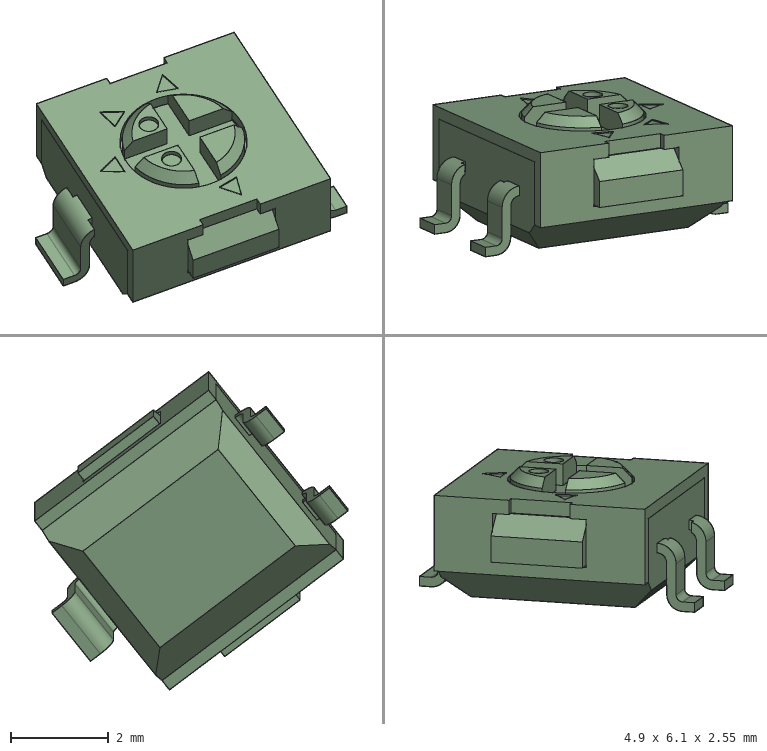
import cadquery as cq
import math

body_size = 4.5
half_body = body_size / 2
cover_wall = 0.25
cover_bottom_z = 0.715
cover_top_z = 2.3

base_width = body_size - 2 * cover_wall
base_top_z = cover_top_z - cover_wall
base_end_chamfer = 0.5

window_length = 2.0
window_bottom_z = 1.0
window_top_z = 2.0
catch_clearance = 0.025
catch_span = 4.9
catch_slope = 0.4
catch_length = window_length - 2 * catch_clearance

notch_length = 1.3
notch_depth = 0.16

knob_diameter = 2.5
knob_hole_diameter = 2.6
knob_top_z = 2.55
knob_chamfer = 0.195
cross_slot_width = 0.5
cross_slot_depth = 0.45
dimple_diameter = 0.4
dimple_offset = 0.53
dimple_depth = 0.1

arrow_steps = (-2, -1, 0, 2)
arrow_step_angle = 360 / 7
arrow_base_radius = 1.445
arrow_tip_radius = 1.89
arrow_width = 0.45
arrow_depth = 0.025

lead_reach = 3.05
lead_top_z = 1.395
lead_thickness = 0.2
shoulder_radius = 0.4
heel_inner_radius = 0.14
heel_outer_radius = heel_inner_radius + lead_thickness
lead_neck_length = 0.09
front_lead_width = 1.29
front_neck_width = 0.71
rear_lead_inner_x = 0.75
rear_lead_outer_x = 1.365
rear_neck_inner_x = 0.89


def block(x_range, y_range, z_range):
    """Box spanning the given (low, high) limits on each axis."""
    spans = [high - low for low, high in (x_range, y_range, z_range)]
    corner = (x_range[0], y_range[0], z_range[0])
    return cq.Workplane("XY").box(*spans, centered=False).translate(corner)


def centered(length):
    """Limits of a span of this length centered on zero."""
    return (-length / 2, length / 2)


def make_arrow(step):
    """Cutter for one arrow mark pointing away from the knob."""
    return (
        cq.Workplane("XY", origin=(0, 0, cover_top_z - arrow_depth))
        .polyline([
            (-arrow_width / 2, -arrow_base_radius),
            (arrow_width / 2, -arrow_base_radius),
            (0, -arrow_tip_radius),
        ])
        .close()
        .extrude(arrow_depth)
        .rotate((0, 0, 0), (0, 0, 1), step * arrow_step_angle)
    )


def make_cover():
    cover = block(centered(body_size), centered(body_size), (cover_bottom_z, cover_top_z))
    cover = cover.cut(block(centered(base_width), centered(body_size), (cover_bottom_z, base_top_z)))
    cover = cover.cut(
        block(centered(body_size), centered(window_length), (window_bottom_z, window_top_z))
    )
    for x_range in (
        (-half_body, -half_body + notch_depth),
        (half_body - notch_depth, half_body),
    ):
        cover = cover.cut(block(x_range, centered(notch_length), (window_top_z, cover_top_z)))
    cover = cover.faces(">Z").workplane(origin=(0, 0, cover_top_z)).hole(knob_hole_diameter)
    for step in arrow_steps:
        cover = cover.cut(make_arrow(step))
    return cover


def make_tapered_block():
    """Base block: its long lower edges slope at 45 degrees from the cover's bottom edge."""
    half_width = base_width / 2
    half_bottom = half_width - cover_bottom_z
    block_profile = [
        (-half_bottom, 0),
        (half_bottom, 0),
        (half_width, cover_bottom_z),
        (half_width, base_top_z),
        (-half_width, base_top_z),
        (-half_width, cover_bottom_z),
    ]
    tapered = cq.Workplane("XZ").polyline(block_profile).close().extrude(half_body, both=True)
    end_profile = [
        (-half_body + base_end_chamfer, 0),
        (half_body - base_end_chamfer, 0),
        (half_body, base_end_chamfer),
        (half_body, base_top_z),
        (-half_body, base_top_z),
        (-half_body, base_end_chamfer),
    ]
    end_limits = cq.Workplane("YZ").polyline(end_profile).close().extrude(half_body, both=True)
    return tapered.intersect(end_limits)


def make_catches():
    """Bar across the base whose two sloped ends are the snap catches."""
    bottom_z = window_bottom_z + catch_clearance
    top_z = window_top_z - catch_clearance
    half_span = catch_span / 2
    profile = [
        (-half_span, bottom_z),
        (half_span, bottom_z),
        (half_span, top_z - catch_slope),
        (half_span - catch_slope, top_z),
        (-half_span + catch_slope, top_z),
        (-half_span, top_z - catch_slope),
    ]
    return cq.Workplane("XZ").polyline(profile).close().extrude(catch_length / 2, both=True)


def make_knob():
    knob = (
        cq.Workplane("XY", origin=(0, 0, base_top_z))
        .circle(knob_diameter / 2)
        .extrude(knob_top_z - base_top_z)
        .faces(">Z")
        .chamfer(knob_chamfer)
    )
    slot_z = (knob_top_z - cross_slot_depth, knob_top_z)
    across_slot = centered(cross_slot_width)
    along_slot = centered(knob_diameter)
    knob = knob.cut(block(along_slot, across_slot, slot_z))
    knob = knob.cut(block(across_slot, along_slot, slot_z))
    dimples = (
        cq.Workplane("XY", origin=(0, 0, knob_top_z - dimple_depth))
        .pushPoints([(-dimple_offset, -dimple_offset), (dimple_offset, -dimple_offset)])
        .circle(dimple_diameter / 2)
        .extrude(dimple_depth)
    )
    return knob.cut(dimples)


def make_base():
    return make_tapered_block().union(make_catches()).union(make_knob())


def make_lead(x_range, neck_x_range):
    """Lead on the +Y end: shoulder bend, straight leg, heel bend and foot."""
    low_x, high_x = x_range
    leg_outer_y = half_body + shoulder_radius
    leg_inner_y = leg_outer_y - lead_thickness
    shoulder_z = lead_top_z - shoulder_radius
    heel_y = leg_outer_y + heel_inner_radius
    bend = math.sqrt(0.5)
    shoulder_inner_radius = shoulder_radius - lead_thickness
    lead = (
        cq.Workplane("YZ", origin=(low_x, 0, 0))
        .moveTo(half_body, lead_top_z)
        .threePointArc(
            (half_body + shoulder_radius * bend, shoulder_z + shoulder_radius * bend),
            (leg_outer_y, shoulder_z),
        )
        .lineTo(leg_outer_y, heel_outer_radius)
        .threePointArc(
            (heel_y - heel_inner_radius * bend, heel_outer_radius - heel_inner_radius * bend),
            (heel_y, lead_thickness),
        )
        .lineTo(lead_reach, lead_thickness)
        .lineTo(lead_reach, 0)
        .lineTo(heel_y, 0)
        .threePointArc(
            (heel_y - heel_outer_radius * bend, heel_outer_radius - heel_outer_radius * bend),
            (leg_inner_y, heel_outer_radius),
        )
        .lineTo(leg_inner_y, shoulder_z)
        .threePointArc(
            (half_body + shoulder_inner_radius * bend, shoulder_z + shoulder_inner_radius * bend),
            (half_body, lead_top_z - lead_thickness),
        )
        .close()
        .extrude(high_x - low_x)
    )
    neck_y = (half_body, half_body + lead_neck_length)
    for side_range in ((low_x, neck_x_range[0]), (neck_x_range[1], high_x)):
        if side_range[1] > side_range[0]:
            lead = lead.cut(block(side_range, neck_y, (shoulder_z, lead_top_z)))
    return lead


def make_front_lead():
    """Wide lead on the -Y end, with its neck centered."""
    lead = make_lead(centered(front_lead_width), centered(front_neck_width))
    return lead.rotate((0, 0, 0), (0, 0, 1), 180)


def make_rear_leads():
    """Mirrored pair of narrow leads on the +Y end, with necks flush to their outer edges."""
    leads = []
    for side in (-1, 1):
        x_range = sorted((side * rear_lead_inner_x, side * rear_lead_outer_x))
        neck_x_range = sorted((side * rear_neck_inner_x, side * rear_lead_outer_x))
        leads.append(make_lead(x_range, neck_x_range))
    return leads


cover = make_cover()
base = make_base()
front_lead = make_front_lead()
rear_leads = make_rear_leads()

result = cq.Compound.makeCompound(
    [cover.val(), base.val(), front_lead.val(), *[lead.val() for lead in rear_leads]]
)